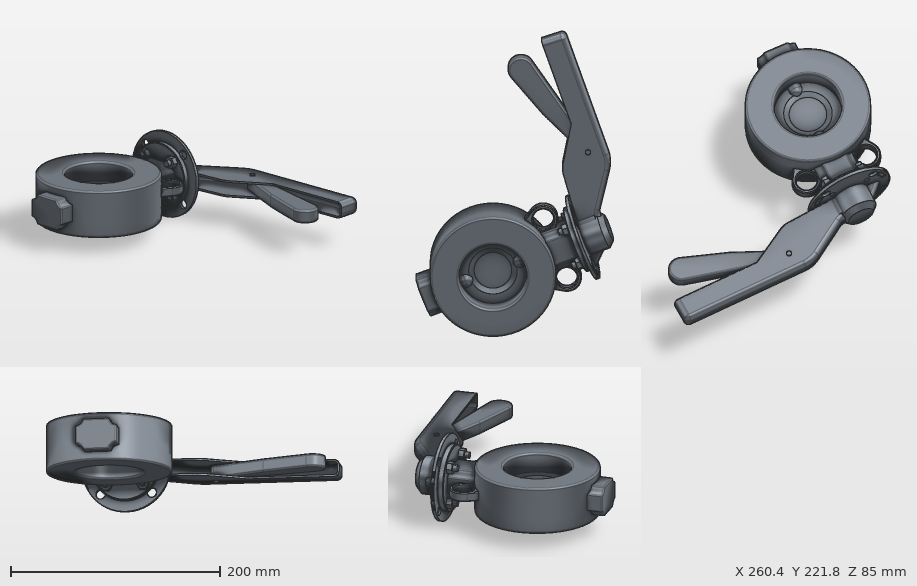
import cadquery as cq
import math


BODY_R = 120.0 / 2
BODY_HALF_WIDTH = 23.2
BODY_EDGE_FILLET = 1.8
BORE_R = 32.5
BORE_EDGE_FILLET = 2.0

NECK_HALF_X = 19.93
NECK_HALF_Z = 14.98
SCALLOP_X = 7.3
SCALLOP_Z = 6.5
SCALLOP_R = 8.3
NECK_EDGE_FILLET = 1.3
BOSS_BOTTOM_Y = -71.5

FLANGE_BOTTOM_Y = 84.0
PLATE_BOTTOM_Y = 90.5
PLATE_TOP_Y = 93.5
FLANGE_R = 32.5
FLANGE_CHAMFER = 0.8

EAR_X = 31.5
EAR_Y = 63.5
EAR_R = 13.93
EAR_HOLE_R = 20.0 / 2
EAR_HALF_Z = 4.7
EAR_CHAMFER = 1.0
EAR_WEB_TOP_Y = 73.0
EAR_WEB_BOTTOM_Y = 43.5
EAR_WEB_OVERLAP = 2.5
EAR_WEB_SLOPE = math.radians(31)

DISC_HALF_Z = 4.0
DISH_DEPTH = 2.3
DISH_TOP_R = 23.2
DISH_FLOOR_R = 18.0
PIVOT_R = 7.5
PIVOT_DOME_Y = 27.9

PLATE_R = 85.0 / 2
TOOTH_ROOT_R = 83.0 / 2
TOOTH_PITCH_DEG = 1.5
TOOTH_COUNT = 9
TOOTH_WIDTH = 0.8
SIDE_TOOTH_START_DEG = 20
SIDE_TOOTH_COUNT = 6
PLATE_HOLE_R = 9.0 / 2
PLATE_HOLE_CIRCLE_R = 35.2
PAD_INNER_R = 35.2
PAD_OUTER_R = 39.5
PAD_START_DEG = 17
PAD_END_DEG = 36.5
PAD_HEIGHT = 0.8

BOLT_SPACING = 36.0
BOLT_R = 6.0 / 2
NUT_ACROSS_CORNERS = 12.0
NUT_HEIGHT = 5.5
BOLT_PROJECTION = 10.0

HUB_R = 18.62
HUB_TOP_Y = 118.5
HUB_CHAMFER = 5.5
HUB_FILLET = 4.5
RIB_REACH = 31.5
RIB_HALF_Z = 5.08
RIB_FILLET = 3.6
RIB_TOP_GAP = 2.5
LEVER_HALF_Z = 8.2
LEVER_WALL = 1.8
LEVER_EDGE_FILLET = 5.2
DOWNWARD = 0.05
NECK_LINE_Y = 116.2
PIVOT_X = 80.5
PIVOT_Y = 128.1

ARM_NECK = (18.8, NECK_LINE_Y)
ARM_BEND = (62.5, 145.5)
ARM_TIP_TOP = (199.5, 150.42)
ARM_TIP_BOTTOM = (200.42, 126.3)
ARM_GRIP_START = (112.3, 123.2)
ARM_BELLY = (72.7, 98.5)
ARM_HEEL = (20.5, PLATE_TOP_Y)
ARM_CORNER_RADII = [(ARM_NECK, 10.5), (ARM_BEND, 31.3), (ARM_TIP_TOP, 4.7), (ARM_BELLY, 20.8)]

PIN_R = 5.0 / 2
PIN_HALF_LENGTH = 9.5
TRIGGER_ROOT_R = 4.82
TRIGGER_TIP_R = 12.37
TRIGGER_TIP_X = 179.7
TRIGGER_TIP_Y = 97.7
TRIGGER_KNEE = (130.8, 101.0)
TRIGGER_FILLET = 1.8


def section_z(half_length):
    """Workplane facing +Z, at the lower end of a shape that is centred on Z = 0."""
    return cq.Workplane("XY", origin=(0, 0, -half_length))


def section_y(height):
    """Workplane facing +Y, with local x along X and local y along -Z."""
    return cq.Workplane("XZ", origin=(0, height, 0)).transformed(rotate=(180, 0, 0))


def cylinder_z(x, y, radius, half_length):
    """Cylinder along Z, centred on Z = 0."""
    return section_z(half_length).center(x, y).circle(radius).extrude(2 * half_length)


def cylinder_y(radius, bottom, top, x=0, z=0):
    """Cylinder along Y between two heights."""
    return section_y(bottom).center(x, -z).circle(radius).extrude(top - bottom)


def arc_mid(start, end, radius, centre_side):
    """Middle of a minor arc; centre_side is a point on the side of the arc's centre."""
    mx, my = (start[0] + end[0]) / 2, (start[1] + end[1]) / 2
    half = math.dist(start, end) / 2
    sagitta = radius - math.sqrt(radius**2 - half**2)
    away = math.dist((mx, my), centre_side)
    return (mx + (mx - centre_side[0]) / away * sagitta, my + (my - centre_side[1]) / away * sagitta)


def around(point, size=0.5):
    """Selects what lies around a point of the XY plane, at any Z of the lever."""
    x, y = point
    return cq.selectors.BoxSelector(
        (x - size, y - size, -HUB_R), (x + size, y + size, HUB_R)
    )


def neck_block(bottom, top):
    """Block along Y with a concave scallop at each corner."""
    block = section_y(bottom).rect(2 * NECK_HALF_X, 2 * NECK_HALF_Z).extrude(top - bottom)
    start = (NECK_HALF_X, NECK_HALF_Z - SCALLOP_Z)
    end = (NECK_HALF_X - SCALLOP_X, NECK_HALF_Z)
    corner = (NECK_HALF_X, NECK_HALF_Z)
    middle = arc_mid(start, end, SCALLOP_R, corner)
    scallop = section_y(bottom).moveTo(*start).threePointArc(middle, end).lineTo(*corner).close()
    scallop = scallop.extrude(top - bottom)
    for cutter in (scallop, scallop.mirror("YZ")):
        block = block.cut(cutter).cut(cutter.mirror("XY"))
    return block.edges("|Y").fillet(NECK_EDGE_FILLET)


def make_ear():
    """Ear on the +X side."""
    flank_x = EAR_X + EAR_R * math.cos(EAR_WEB_SLOPE)
    flank_y = EAR_Y - EAR_R * math.sin(EAR_WEB_SLOPE)
    foot_x = flank_x - (flank_y - EAR_WEB_BOTTOM_Y) * math.tan(EAR_WEB_SLOPE)
    inner_x = NECK_HALF_X - EAR_WEB_OVERLAP
    outline = [
        (flank_x, flank_y),
        (foot_x, EAR_WEB_BOTTOM_Y),
        (inner_x, EAR_WEB_BOTTOM_Y),
        (inner_x, EAR_WEB_TOP_Y),
        (EAR_X, EAR_WEB_TOP_Y),
    ]
    web = section_z(EAR_HALF_Z).polyline(outline).close().extrude(2 * EAR_HALF_Z)
    ear = cylinder_z(EAR_X, EAR_Y, EAR_R, EAR_HALF_Z).union(web)
    ear = ear.cut(cylinder_z(EAR_X, EAR_Y, EAR_HOLE_R, EAR_HALF_Z))
    return ear.faces("|Z").edges().chamfer(EAR_CHAMFER)


def bolt_places():
    half = BOLT_SPACING / 2
    return [(x, z) for x in (-half, half) for z in (-half, half)]


def cut_bolt_holes(body):
    for x, z in bolt_places():
        body = body.cut(cylinder_y(BOLT_R, FLANGE_BOTTOM_Y, PLATE_TOP_Y, x, z))
    return body


def make_housing():
    """Valve body with its bottom boss, neck, mounting flange and two ears."""
    housing = cylinder_z(0, 0, BODY_R, BODY_HALF_WIDTH).faces("|Z").edges().fillet(BODY_EDGE_FILLET)
    boss = neck_block(BOSS_BOTTOM_Y, 0).faces("<Y").edges().fillet(NECK_EDGE_FILLET)
    flange = cylinder_y(FLANGE_R, FLANGE_BOTTOM_Y, PLATE_BOTTOM_Y).edges().chamfer(FLANGE_CHAMFER)
    neck = neck_block(0, FLANGE_BOTTOM_Y)
    neck = neck.union(flange)
    housing = housing.union(boss).union(neck)
    ear = make_ear()
    housing = housing.union(ear).union(ear.mirror("YZ"))
    housing = housing.cut(cylinder_z(0, 0, BORE_R, BODY_HALF_WIDTH))
    bore_edges = cq.selectors.RadiusNthSelector(0)
    housing = housing.faces("<Z or >Z").edges(bore_edges).fillet(BORE_EDGE_FILLET)
    return cut_bolt_holes(housing)


def make_disc():
    """Disc closing the bore, dished on both faces, with a domed pivot at each end of the stem axis."""
    profile = [
        (0, 0),
        (BORE_R, 0),
        (BORE_R, DISC_HALF_Z),
        (DISH_TOP_R, DISC_HALF_Z),
        (DISH_FLOOR_R, DISC_HALF_Z - DISH_DEPTH),
        (0, DISC_HALF_Z - DISH_DEPTH),
    ]
    half_disc = cq.Workplane("XZ").polyline(profile).close().revolve(360, (0, 0), (0, 1))
    disc = half_disc.union(half_disc.mirror("XY"))
    pivot = cylinder_y(PIVOT_R, PIVOT_DOME_Y, BORE_R)
    pivot = pivot.union(cq.Workplane("XY").sphere(PIVOT_R).translate((0, PIVOT_DOME_Y, 0)))
    pivot = pivot.intersect(cylinder_z(0, 0, BORE_R, PIVOT_R))
    return disc.union(pivot).union(pivot.mirror("XZ"))


def tooth_angles():
    """Angles of the tooth gaps from the -X direction: a middle row and a shorter row each side."""
    middle = [(i * TOOTH_PITCH_DEG) for i in range(-TOOTH_COUNT + 1, TOOTH_COUNT)]
    side = [SIDE_TOOTH_START_DEG + i * TOOTH_PITCH_DEG for i in range(SIDE_TOOTH_COUNT)]
    return middle + side + [-angle for angle in side]


def make_index_plate():
    """Round plate with four holes, a toothed rim on the -X side and four raised pads."""
    thickness = PLATE_TOP_Y - PLATE_BOTTOM_Y
    plate = cylinder_y(PLATE_R, PLATE_BOTTOM_Y, PLATE_TOP_Y)
    for quarter in range(4):
        angle = math.radians(45 + 90 * quarter)
        x = PLATE_HOLE_CIRCLE_R * math.cos(angle)
        z = PLATE_HOLE_CIRCLE_R * math.sin(angle)
        plate = plate.cut(cylinder_y(PLATE_HOLE_R, PLATE_BOTTOM_Y, PLATE_TOP_Y, x, z))
    gap_depth = PLATE_R - TOOTH_ROOT_R
    gap = cq.Workplane("XY").box(2 * gap_depth, thickness, TOOTH_WIDTH)
    gap = gap.translate((-PLATE_R, PLATE_BOTTOM_Y + thickness / 2, 0))
    for angle in tooth_angles():
        plate = plate.cut(gap.rotate((0, 0, 0), (0, 1, 0), angle))
    pad = cq.Workplane("XY", origin=(PAD_INNER_R, PLATE_TOP_Y, 0))
    pad = pad.rect(PAD_OUTER_R - PAD_INNER_R, PAD_HEIGHT, centered=False)
    pad = pad.revolve(PAD_END_DEG - PAD_START_DEG, (-PAD_INNER_R, 0), (-PAD_INNER_R, 1))
    for start in (PAD_START_DEG, -PAD_END_DEG, 180 + PAD_START_DEG, 180 - PAD_END_DEG):
        plate = plate.union(pad.rotate((0, 0, 0), (0, 1, 0), start))
    return cut_bolt_holes(plate)


def make_bolt(x, z):
    """Stud through flange and plate, with a hexagon nut under the flange."""
    stud = cylinder_y(BOLT_R, FLANGE_BOTTOM_Y - BOLT_PROJECTION, PLATE_TOP_Y, x, z)
    nut = section_y(FLANGE_BOTTOM_Y - NUT_HEIGHT).center(x, -z).polygon(6, NUT_ACROSS_CORNERS)
    return stud.union(nut.extrude(NUT_HEIGHT))


def make_arm():
    """Bent arm of the lever: a channel open on its underside."""
    top = [(0, NECK_LINE_Y), ARM_NECK, ARM_BEND, ARM_TIP_TOP]
    underside = [ARM_TIP_BOTTOM, ARM_GRIP_START, ARM_BELLY, ARM_HEEL, (0, PLATE_TOP_Y)]
    arm = section_z(LEVER_HALF_Z).polyline(top + underside).close().extrude(2 * LEVER_HALF_Z)
    for corner, radius in ARM_CORNER_RADII:
        arm = arm.edges("|Z").edges(around(corner)).fillet(radius)
    slope_middle = ((ARM_NECK[0] + ARM_BEND[0]) / 2, (ARM_NECK[1] + ARM_BEND[1]) / 2)
    arm = arm.faces("|Z").edges(around(slope_middle, 2.5)).fillet(LEVER_EDGE_FILLET)
    open_faces = [face for face in arm.faces().vals() if face.normalAt().y < -DOWNWARD]
    return arm.newObject(open_faces).shell(-LEVER_WALL)


def make_rib():
    """Triangular rib on the -X side of the hub, with rounded long edges."""
    rib = section_z(RIB_HALF_Z).polyline(
        [(-RIB_REACH, PLATE_TOP_Y), (0, PLATE_TOP_Y), (0, PLATE_TOP_Y + RIB_REACH)]
    )
    rib = rib.close().extrude(2 * RIB_HALF_Z)
    return rib.faces("<(1, -1, 0)").edges("not |Z").fillet(RIB_FILLET)


def make_hub_blend():
    """Concave round filling the corner between the hub and one side of the arm."""
    centre_z = LEVER_HALF_Z + HUB_FILLET
    centre_distance = HUB_R + HUB_FILLET
    centre_x = math.sqrt(centre_distance**2 - centre_z**2)
    on_hub = (centre_x * HUB_R / centre_distance, centre_z * HUB_R / centre_distance)
    on_arm = (centre_x, LEVER_HALF_Z)
    middle = arc_mid(on_hub, on_arm, HUB_FILLET, (centre_x, centre_z))
    inside = (on_hub[0] - HUB_FILLET, LEVER_HALF_Z - LEVER_WALL)
    blend = section_y(PLATE_TOP_Y).moveTo(*on_hub).threePointArc(middle, on_arm)
    blend = blend.lineTo(on_arm[0], inside[1]).lineTo(*inside).close()
    return blend.extrude(NECK_LINE_Y - LEVER_EDGE_FILLET - PLATE_TOP_Y)


def make_lever():
    """Hub with its rib and the bent arm, drilled for the trigger pin."""
    hub = cylinder_y(HUB_R, PLATE_TOP_Y, HUB_TOP_Y).faces(">Y").edges().chamfer(HUB_CHAMFER)
    rib_top = HUB_TOP_Y - HUB_CHAMFER - RIB_TOP_GAP
    rib = make_rib().intersect(cylinder_y(RIB_REACH, PLATE_TOP_Y, rib_top))
    lever = hub.union(rib).union(make_arm())
    blend = make_hub_blend()
    lever = lever.union(blend).union(blend.mirror("XY"))
    return lever.cut(cylinder_z(PIVOT_X, PIVOT_Y, PIN_R, LEVER_HALF_Z))


def make_pin():
    return cylinder_z(PIVOT_X, PIVOT_Y, PIN_R, PIN_HALF_LENGTH)


def make_trigger():
    """Tapered trigger: a root round at the pin and a larger tip round, with a knee on the underside."""
    across = TRIGGER_TIP_X - PIVOT_X
    along = TRIGGER_TIP_Y - PIVOT_Y
    axis = math.atan2(along, across)
    taper = math.asin((TRIGGER_TIP_R - TRIGGER_ROOT_R) / math.hypot(across, along))
    quarter = math.pi / 2

    def root(angle):
        return (PIVOT_X + TRIGGER_ROOT_R * math.cos(angle), PIVOT_Y + TRIGGER_ROOT_R * math.sin(angle))

    def tip(angle):
        return (
            TRIGGER_TIP_X + TRIGGER_TIP_R * math.cos(angle),
            TRIGGER_TIP_Y + TRIGGER_TIP_R * math.sin(angle),
        )

    upper = axis + quarter + taper
    lower = axis - quarter - taper
    half_z = LEVER_HALF_Z - LEVER_WALL
    trigger = (
        section_z(half_z)
        .moveTo(*root(upper))
        .lineTo(*tip(upper))
        .threePointArc(tip(axis), tip(lower))
        .lineTo(*TRIGGER_KNEE)
        .lineTo(*root(lower))
        .threePointArc(root(axis + math.pi), root(upper))
        .close()
        .extrude(2 * half_z)
    )
    trigger = trigger.faces("|Z").edges().fillet(TRIGGER_FILLET)
    return trigger.cut(cylinder_z(PIVOT_X, PIVOT_Y, PIN_R, half_z))


housing = make_housing()
disc = make_disc()
index_plate = make_index_plate()
bolts = [make_bolt(x, z).val() for x, z in bolt_places()]
lever = make_lever()
pin = make_pin()
trigger = make_trigger()

result = cq.Compound.makeCompound(
    [housing.val(), disc.val(), index_plate.val(), *bolts, lever.val(), pin.val(), trigger.val()]
)